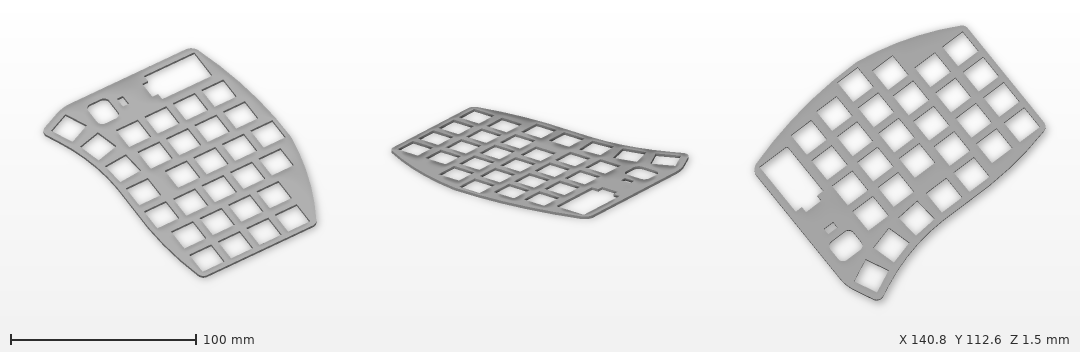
import cadquery as cq
import math

thickness = 1.5
width = 140.8

thumb_tilt = math.radians(25)
thumb_corner = (8.7, -1.3)
thumb_edge_end_x = 18.7
lower_flat_y = 14.0
lower_flat_start_x = 63.6
lower_flat_end_x = 95.6
lower_right_arc_mid = (124.5, 17.0)
lower_right_y = 20.7
upper_right_y = 92.9
peak = (81.7, 112.6)
upper_left_y = 99.8
upper_left_arc_mid = (46.2, 110.5)
upper_right_arc_mid = (113.9, 105.0)

left_bend = (0, thumb_corner[1] + thumb_corner[0] / math.tan(thumb_tilt))
lower_right = (width, lower_right_y)
upper_right = (width, upper_right_y)
upper_left = (0, upper_left_y)
thumb_edge_end = (
    thumb_edge_end_x,
    thumb_corner[1] + (thumb_edge_end_x - thumb_corner[0]) * math.tan(thumb_tilt),
)

corner_radii = [
    (left_bend, 23.0),
    (thumb_corner, 4.0),
    (lower_right, 4.0),
    (upper_right, 4.0),
    (upper_left, 5.9),
]

switch_size = 14.0
column_pitch = 19.0
row_pitch = 18.0
first_column_x = 35.5
rows_per_column = 4
lowest_row_y = [41.1, 43.2, 49.0, 42.7, 29.8, 29.8]
thumb_switches = [
    (14.2, 13.2, 25),
    (33.4, 20.1, 15),
    (53.4, 23.7, 5),
    (73.1, 24.6, 0),
    (92.0, 24.6, 0),
]

window_x = 13.7
window_width = 19.0
window_bottom = 66.7
window_top = 98.5
notch_width = 10.5
notch_bottom = 63.1
window_corner_radius = 1.0

slot_center = (13.4, 47.9)
slot_size = (6.3, 3.8)
opening_center = (13.8, 35.0)
opening_size = (15.8, 13.4)
opening_radius = 3.4


def make_plate():
    plate = (
        cq.Workplane("XY")
        .moveTo(*left_bend)
        .lineTo(*thumb_corner)
        .lineTo(*thumb_edge_end)
        .tangentArcPoint((lower_flat_start_x, lower_flat_y), relative=False)
        .lineTo(lower_flat_end_x, lower_flat_y)
        .threePointArc(lower_right_arc_mid, lower_right)
        .lineTo(*upper_right)
        .threePointArc(upper_right_arc_mid, peak)
        .threePointArc(upper_left_arc_mid, upper_left)
        .close()
        .extrude(thickness)
    )
    for (x, y), radius in corner_radii:
        nearest_edge = cq.selectors.NearestToPointSelector((x, y, thickness / 2))
        plate = plate.edges("|Z").edges(nearest_edge).fillet(radius)
    return plate


def rectangle_cutter(center, size, tilt=0):
    return (
        cq.Workplane("XY")
        .center(*center)
        .transformed(rotate=(0, 0, tilt))
        .rect(*size)
        .extrude(thickness)
    )


def cut_switches(plate):
    switch = (switch_size, switch_size)
    for column, lowest_y in enumerate(lowest_row_y):
        x = first_column_x + column * column_pitch
        for row in range(rows_per_column):
            plate = plate.cut(rectangle_cutter((x, lowest_y + row * row_pitch), switch))
    for x, y, tilt in thumb_switches:
        plate = plate.cut(rectangle_cutter((x, y), switch, tilt))
    return plate


def cut_controller_window(plate):
    window_center = (window_x, (window_bottom + window_top) / 2)
    window = rectangle_cutter(window_center, (window_width, window_top - window_bottom))
    window = window.edges("|Z").edges(">X and >Y").fillet(window_corner_radius)
    notch_center = (window_x, (notch_bottom + window_top) / 2)
    notch = rectangle_cutter(notch_center, (notch_width, window_top - notch_bottom))
    return plate.cut(window).cut(notch)


def cut_small_openings(plate):
    slot = rectangle_cutter(slot_center, slot_size)
    opening = rectangle_cutter(opening_center, opening_size).edges("|Z").fillet(opening_radius)
    return plate.cut(slot).cut(opening)


result = cut_small_openings(cut_controller_window(cut_switches(make_plate())))